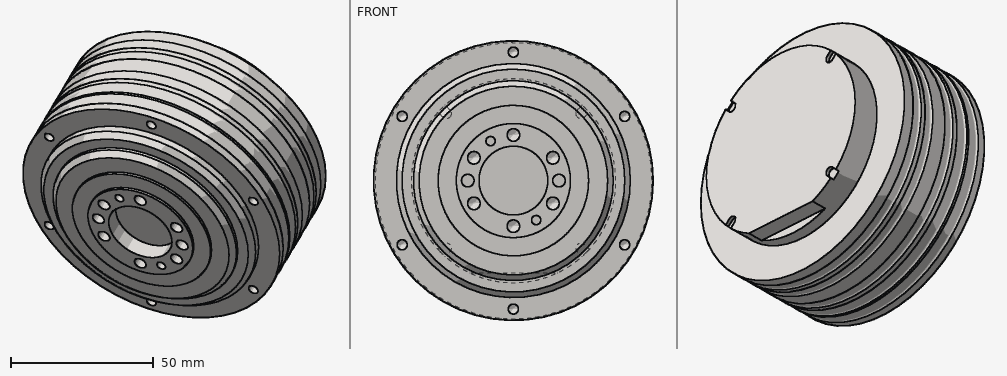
import cadquery as cq
import math

length = 61.7

drum_radius = 49.0
drum_front = 9.7
drum_rear = 50.6
groove_depth = 0.6
groove_corner_radius = 1.0
groove_spans = [
    (12.8, 17.7),
    (18.7, 23.7),
    (25.8, 29.8),
    (36.2, 40.0),
    (42.0, 46.1),
]

outer_step_radius = 41.0
outer_step_front = 5.1
inner_step_radius = 35.0
inner_step_front = 2.0
step_chamfer = 2.0

boss_radius = 35.8
flat_height = -32.3
flat_front = 55.3
slot_width = 3.5
slot_depth = 1.5
slot_center_radius = 33.3
slot_count = 4

hub_radius = 26.4
hub_step = 1.0
hub_boss_radius = 20.0
bore_radius = 12.1
bore_depth = 6.3

drill_point_angle = 118.0
drum_hole_diameter = 3.5
drum_hole_circle = 45.0
drum_hole_depth = 8.0
hub_hole_circle = 16.0
hub_hole_diameter = 4.4
hub_hole_depth = 6.3
pin_hole_diameter = 3.2
drilled_hole_angles = [30, 90, 150, 210, 270, 330]
dowel_hole_angles = [0, 180]
pin_hole_angles = [120, 300]


def disc(radius, front, rear):
    """Round disc about the Y axis."""
    return cq.Workplane("XZ", origin=(0, front, 0)).circle(radius).extrude(front - rear)


def chamfered_disc(radius, front, rear):
    """Disc with a chamfered front edge."""
    return disc(radius, front, rear).faces("<Y").chamfer(step_chamfer)


def polar_point(radius, angle, y):
    """Point at a given height along the axis, with the angle measured from +X toward +Z."""
    turn = math.radians(angle)
    return (radius * math.cos(turn), y, radius * math.sin(turn))


def flat_hole(diameter, depth, circle, angle, front):
    """Cutter for a flat-bottomed hole."""
    x, y, z = polar_point(circle, angle, front)
    return disc(diameter / 2, front, front + depth).translate((x, 0, z))


def drilled_hole(diameter, depth, circle, angle, front):
    """Cutter for a hole whose full-diameter depth ends in a conical drill point."""
    radius = diameter / 2
    point_height = radius / math.tan(math.radians(drill_point_angle / 2))
    cutter = (
        cq.Workplane("XY")
        .polyline([(0, 0), (radius, 0), (radius, depth), (0, depth + point_height)])
        .close()
        .revolve(360, (0, 0, 0), (0, 1, 0))
    )
    return cutter.translate(polar_point(circle, angle, front))


def groove_ring(front, rear):
    """Ring cutter for one groove, with concave arcs running from its floor up to its edges."""
    floor_radius = drum_radius - groove_depth
    arc_center_radius = floor_radius + groove_corner_radius
    rise = arc_center_radius - drum_radius
    arc_length = math.sqrt(groove_corner_radius**2 - rise**2)
    half_turn = math.asin(arc_length / groove_corner_radius) / 2
    mid_radius = arc_center_radius - groove_corner_radius * math.cos(half_turn)
    mid_inset = arc_length - groove_corner_radius * math.sin(half_turn)
    clear_radius = drum_radius + groove_depth
    return (
        cq.Workplane("XY")
        .moveTo(drum_radius, front)
        .threePointArc((mid_radius, front + mid_inset), (floor_radius, front + arc_length))
        .lineTo(floor_radius, rear - arc_length)
        .threePointArc((mid_radius, rear - mid_inset), (drum_radius, rear))
        .lineTo(clear_radius, rear)
        .lineTo(clear_radius, front)
        .close()
        .revolve(360, (0, 0, 0), (0, 1, 0))
    )


def rear_slot(angle):
    """Cutter for a radial slot, open at the rim and round at its inner end."""
    front = length - slot_depth
    reach = boss_radius - slot_center_radius + slot_width
    round_end = disc(slot_width / 2, front, length).translate((slot_center_radius, 0, 0))
    channel = cq.Workplane("XY").box(reach, slot_depth, slot_width, centered=(False, False, True))
    cutter = round_end.union(channel.translate((slot_center_radius, front, 0)))
    return cutter.rotate((0, 0, 0), (0, 1, 0), angle)


def make_drum():
    drum = disc(drum_radius, drum_front, drum_rear)
    for front, rear in groove_spans:
        drum = drum.cut(groove_ring(front, rear))
    for angle in drilled_hole_angles:
        drum = drum.cut(
            drilled_hole(drum_hole_diameter, drum_hole_depth, drum_hole_circle, angle, drum_front)
        )
    return drum


def make_rear_boss():
    boss = disc(boss_radius, drum_rear, length)
    below_flat = cq.Workplane("XY").box(
        2 * boss_radius, length - flat_front, boss_radius, centered=(True, False, False)
    )
    boss = boss.cut(below_flat.translate((0, flat_front, flat_height - boss_radius)))
    for index in range(slot_count):
        boss = boss.cut(rear_slot((index + 0.5) * 360 / slot_count))
    return boss


def make_housing():
    outer_step = chamfered_disc(outer_step_radius, outer_step_front, drum_front)
    inner_step = chamfered_disc(inner_step_radius, inner_step_front, drum_front)
    hub_seat = disc(hub_radius, inner_step_front, drum_front)
    front_steps = outer_step.union(inner_step).cut(hub_seat)
    return make_drum().union(front_steps).union(make_rear_boss())


def make_hub():
    hub = disc(hub_radius, hub_step, drum_front).union(disc(hub_boss_radius, 0, drum_front))
    hub = hub.cut(disc(bore_radius, 0, bore_depth))
    for angle in drilled_hole_angles:
        hub = hub.cut(drilled_hole(hub_hole_diameter, hub_hole_depth, hub_hole_circle, angle, 0))
    for angle in dowel_hole_angles:
        hub = hub.cut(flat_hole(hub_hole_diameter, hub_hole_depth, hub_hole_circle, angle, 0))
    for angle in pin_hole_angles:
        hub = hub.cut(flat_hole(pin_hole_diameter, hub_hole_depth, hub_hole_circle, angle, 0))
    return hub


housing = make_housing().solids()
hub = make_hub().solids()

result = cq.Compound.makeCompound([housing.val(), hub.val()])